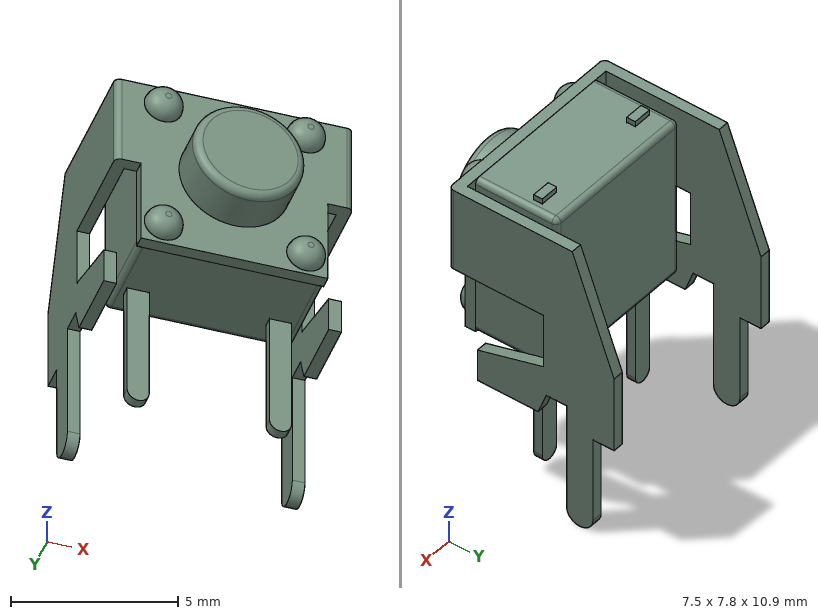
import cadquery as cq


bracket_width = 7.5
bracket_depth = 6.3
sheet = 0.4
bend_radius = 0.2
top_z = 3.0
bottom_z = -3.02
wing_bottom_z = -0.11

arm_top_back_y = 4.71
arm_shoulder_z = -1.19
arm_bottom_z = -4.02
window_back_y = 3.61
window_back_z = -2.14
finger_front_y = 1.1
finger_front_z = -2.82
notch_top_z = -3.22
notch_top_front_y = 3.72
notch_bottom_front_y = 3.41
leg_front_y = 4.49
leg_width = 1.0
leg_tip_z = -7.71

housing_width = 5.9
housing_back_y = 3.5
housing_rounding = 0.2
rivet_diameter = 1.2
rivet_height = 0.51
rivet_rounding = 0.5
rivet_x = 2.25
rivet_z = 2.3

button_diameter = 3.5
button_height = 1.5
button_rounding = 0.25

pin_x = rivet_x
pin_y = 2.5
pin_width = 0.7
pin_thickness = 0.33
pin_top_z = 3.19
pin_tip_z = -7.3

rivet_points = [(x, z) for x in (-rivet_x, rivet_x) for z in (-rivet_z, rivet_z)]


def rod_along_y(x, z, diameter, front_y, back_y):
    """Round rod parallel to Y between two Y positions."""
    return (
        cq.Workplane("XZ", origin=(x, front_y, z))
        .circle(diameter / 2)
        .extrude(front_y - back_y)
    )


def make_pin(x):
    """Flat terminal through the housing, with a rounded lower tip."""
    radius = pin_width / 2
    return (
        cq.Workplane("XZ", origin=(x, pin_y, 0))
        .moveTo(-radius, pin_top_z)
        .lineTo(radius, pin_top_z)
        .lineTo(radius, pin_tip_z + radius)
        .threePointArc((0, pin_tip_z), (-radius, pin_tip_z + radius))
        .close()
        .extrude(pin_thickness / 2, both=True)
    )


def make_arm_profile():
    """Side arms with window, finger and leg, as one prism across the bracket width."""
    leg_radius = leg_width / 2
    leg_back_y = leg_front_y + leg_width
    return (
        cq.Workplane("YZ")
        .moveTo(0, top_z)
        .lineTo(arm_top_back_y, top_z)
        .lineTo(bracket_depth, arm_shoulder_z)
        .lineTo(bracket_depth, arm_bottom_z)
        .lineTo(leg_back_y, arm_bottom_z)
        .lineTo(leg_back_y, leg_tip_z + leg_radius)
        .threePointArc((leg_front_y + leg_radius, leg_tip_z), (leg_front_y, leg_tip_z + leg_radius))
        .lineTo(leg_front_y, notch_top_z)
        .lineTo(notch_top_front_y, notch_top_z)
        .lineTo(notch_bottom_front_y, arm_bottom_z)
        .lineTo(finger_front_y, arm_bottom_z)
        .lineTo(finger_front_y, finger_front_z)
        .lineTo(window_back_y, window_back_z)
        .lineTo(window_back_y, wing_bottom_z)
        .lineTo(0, wing_bottom_z)
        .close()
        .extrude(bracket_width / 2, both=True)
    )


def make_bracket():
    """U-shaped sheet with holes for the button and the rivets."""
    inside = cq.Workplane("XY").box(
        bracket_width - 2 * sheet, bracket_depth, 2 * (top_z - leg_tip_z), centered=(True, False, True)
    ).translate((0, sheet, 0))
    bracket = make_arm_profile().cut(inside)
    bend_position = cq.selectors.BoxSelector(
        (-bracket_width, -sheet / 2, wing_bottom_z), (bracket_width, sheet / 2, top_z)
    )
    bracket = bracket.edges("|Z").edges(bend_position).fillet(bend_radius)

    lower_plate = (
        cq.Workplane("XY", origin=(0, 0, bottom_z))
        .box(housing_width, sheet, top_z - bottom_z, centered=(True, False, False))
    )
    bracket = bracket.union(lower_plate)
    bracket = bracket.cut(rod_along_y(0, 0, button_diameter, 0, sheet))
    for x, z in rivet_points:
        bracket = bracket.cut(rod_along_y(x, z, rivet_diameter, 0, sheet))
    return bracket


def make_housing(pins):
    """Rounded block with rivets through the bracket and slots filled by the pins."""
    housing = (
        cq.Workplane("XY", origin=(0, sheet, bottom_z))
        .box(housing_width, housing_back_y - sheet, top_z - bottom_z, centered=(True, False, False))
        .edges("|Y or >Y")
        .fillet(housing_rounding)
    )
    for x, z in rivet_points:
        rivet = rod_along_y(x, z, rivet_diameter, -rivet_height, sheet)
        housing = housing.union(rivet.faces("<Y").edges().fillet(rivet_rounding))
    for pin in pins:
        housing = housing.cut(pin)
    return housing


def make_button():
    """Round button resting on the housing, with a rounded front rim."""
    button = rod_along_y(0, 0, button_diameter, -button_height, sheet)
    return button.faces("<Y").edges().fillet(button_rounding)


pins = [make_pin(x) for x in (-pin_x, pin_x)]
bracket = make_bracket()
housing = make_housing(pins)
button = make_button()

bodies = [bracket, housing, button, *pins]
result = cq.Compound.makeCompound([body.solids().val() for body in bodies])